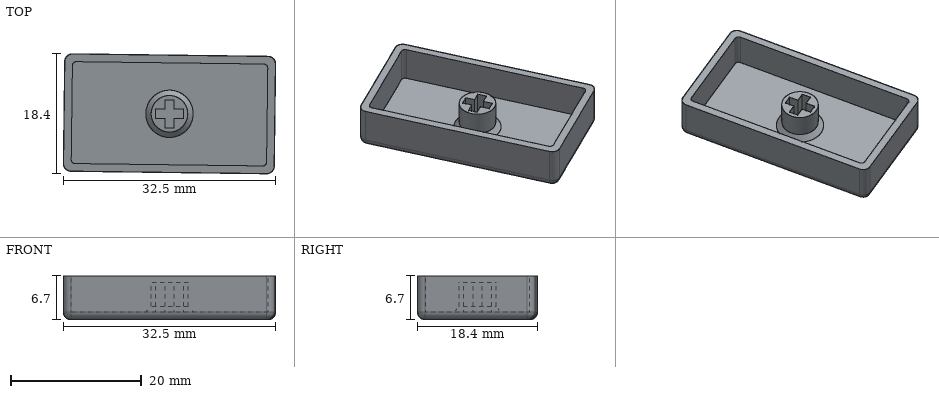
import cadquery as cq

TRAY_LENGTH = 32.31
TRAY_WIDTH = 18.0
TRAY_HEIGHT = 6.7
TRAY_TURN = -0.73
WALL = 1.2
FLOOR = 1.2
OUTER_CORNER_RADIUS = 1.2
INNER_CORNER_RADIUS = 0.6
BOTTOM_EDGE_RADIUS = 1.19

STEM_DIAMETER = 5.6
STEM_RIM_GAP = 1.0
STEM_FLARE = 0.82

CROSS_SPAN = 4.3
CROSS_ARM_WIDTH = 1.4

STEM_HEIGHT = TRAY_HEIGHT - FLOOR - STEM_RIM_GAP


def make_tray():
    """Open box with rounded corners and a rounded bottom edge."""
    body = (
        cq.Workplane("XY")
        .rect(TRAY_LENGTH, TRAY_WIDTH)
        .extrude(TRAY_HEIGHT)
        .edges("|Z")
        .fillet(OUTER_CORNER_RADIUS)
        .faces("<Z")
        .edges()
        .fillet(BOTTOM_EDGE_RADIUS)
    )
    cavity = (
        cq.Workplane("XY", origin=(0, 0, FLOOR))
        .rect(TRAY_LENGTH - 2 * WALL, TRAY_WIDTH - 2 * WALL)
        .extrude(TRAY_HEIGHT - FLOOR)
        .edges("|Z")
        .fillet(INNER_CORNER_RADIUS)
    )
    return body.cut(cavity).rotate((0, 0, 0), (0, 0, 1), TRAY_TURN)


def make_stem():
    """Round post with a conical foot, revolved about Z."""
    radius = STEM_DIAMETER / 2
    top = FLOOR + STEM_HEIGHT
    return (
        cq.Workplane("XZ")
        .moveTo(0, FLOOR)
        .lineTo(radius + STEM_FLARE, FLOOR)
        .lineTo(radius, FLOOR + STEM_FLARE)
        .lineTo(radius, top)
        .lineTo(0, top)
        .close()
        .revolve(360, (0, 0, 0), (0, 1, 0))
    )


def make_cross():
    """Cross socket reaching from the stem top down to the tray floor."""
    base = cq.Workplane("XY", origin=(0, 0, FLOOR))
    arm_x = base.rect(CROSS_SPAN, CROSS_ARM_WIDTH).extrude(STEM_HEIGHT)
    arm_y = base.rect(CROSS_ARM_WIDTH, CROSS_SPAN).extrude(STEM_HEIGHT)
    return arm_x.union(arm_y)


result = make_tray().union(make_stem()).cut(make_cross())